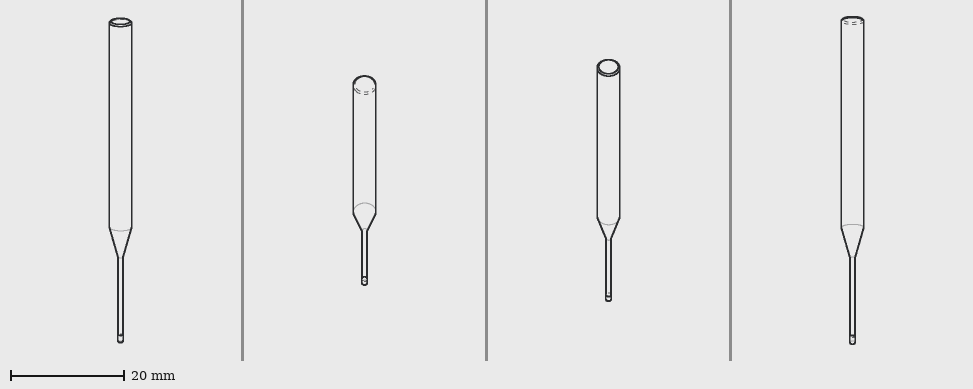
import cadquery as cq

total_length = 60.0
shank_diameter = 4.0
neck_diameter = 0.95
tip_diameter = 1.0

shank_bottom = 21.6
neck_top = 16.0
tip_top = 1.5

bevel_size = 0.3

shank_radius = shank_diameter / 2
neck_radius = neck_diameter / 2
tip_radius = tip_diameter / 2


def make_holder():
    """Bevelled shank, taper and slender neck, revolved as one solid."""
    return (
        cq.Workplane("XZ")
        .moveTo(0, tip_top)
        .lineTo(neck_radius, tip_top)
        .lineTo(neck_radius, neck_top)
        .lineTo(shank_radius, shank_bottom)
        .lineTo(shank_radius, total_length - bevel_size)
        .lineTo(shank_radius - bevel_size, total_length)
        .lineTo(0, total_length)
        .close()
        .revolve(360, (0, 0, 0), (0, 1, 0))
    )


def make_cutting_tip():
    """Short cylinder with a hemispherical end."""
    return (
        cq.Workplane("XZ")
        .moveTo(0, 0)
        .radiusArc((tip_radius, tip_radius), -tip_radius)
        .lineTo(tip_radius, tip_top)
        .lineTo(0, tip_top)
        .close()
        .revolve(360, (0, 0, 0), (0, 1, 0))
    )


holder = make_holder()
cutting_tip = make_cutting_tip()

result = cq.Compound.makeCompound([holder.val(), cutting_tip.val()])